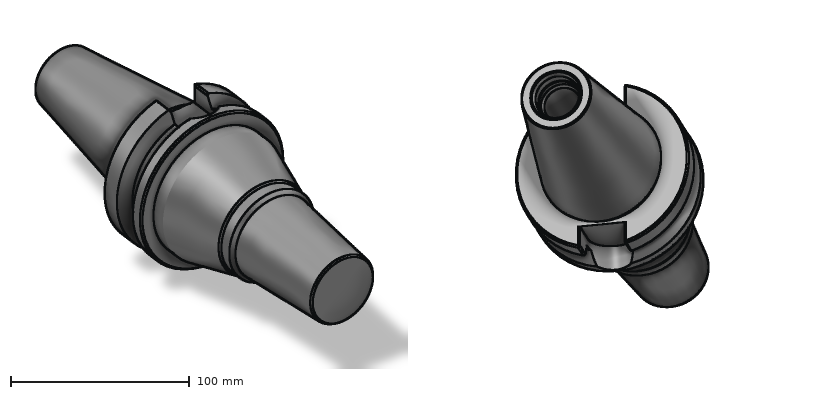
import cadquery as cq
import math

taper_length = 101.5
taper_small_radius = 20.2
radius_slope = 7 / 48
taper_edge = 0.5
taper_large_radius = taper_small_radius + taper_length * radius_slope

neck_drop = 1.0
neck_radius = taper_large_radius - neck_drop

flange_radius = 50.0
flange_start = 104.5
flange_end = 139.8
flange_chamfer = 1.0
groove_middle = 124.5
groove_floor_width = 6.3
groove_floor_radius = 42.5
groove_flank_angle = 30
groove_depth = flange_radius - groove_floor_radius
groove_half_floor = groove_floor_width / 2
groove_half_mouth = groove_half_floor + groove_depth * math.tan(math.radians(groove_flank_angle))

collar_radius = 41.4
collar_end = 149.0
cone_end = 186.5
cone_end_radius = 30.5

band_start = 187.7
band_radius = 29.5
band_end = 195.0
nose_start = 197.5
nose_radius = 27.0
nose_end_radius = 22.0
nose_chamfer = 1.0
total_length = 261.8

slot_half_width = 12.8
slot_floor = 35.5
slot_end = 136.7
slot_edge_chamfer = 1.0

mouth_radius = 15.0
mouth_ledge_radius = 14.1
mouth_ledge_depth = 0.3
centring_cone_end = 2.5
counterbore_radius = 12.5
counterbore_depth = 9.0
thread_radius = 12.0
thread_relief_end = 13
thread_core_radius = 10.5
thread_lead_chamfer = thread_radius - thread_core_radius
thread_depth = 60.2
drill_point_angle = 118
drill_tip = thread_depth + thread_core_radius / math.tan(math.radians(drill_point_angle / 2))


def revolve_about_x(points):
    """Turn a closed (x, radius) outline about the X axis."""
    return cq.Workplane("XY").polyline(points).close().revolve(360, (0, 0, 0), (1, 0, 0))


def turned_body():
    return revolve_about_x([
        (0, 0),
        (0, taper_small_radius - taper_edge),
        (taper_edge, taper_small_radius + taper_edge * radius_slope),
        (taper_length, taper_large_radius),
        (taper_length + neck_drop, neck_radius),
        (flange_start, neck_radius),
        (flange_start, flange_radius - flange_chamfer),
        (flange_start + flange_chamfer, flange_radius),
        (groove_middle - groove_half_mouth, flange_radius),
        (groove_middle - groove_half_floor, groove_floor_radius),
        (groove_middle + groove_half_floor, groove_floor_radius),
        (groove_middle + groove_half_mouth, flange_radius),
        (flange_end - flange_chamfer, flange_radius),
        (flange_end, flange_radius - flange_chamfer),
        (flange_end, collar_radius),
        (collar_end, collar_radius),
        (cone_end, cone_end_radius),
        (band_start, band_radius),
        (band_end, band_radius),
        (nose_start, nose_radius),
        (total_length - nose_chamfer, nose_end_radius),
        (total_length, nose_end_radius - nose_chamfer),
        (total_length, 0),
    ])


def pull_stud_bore():
    return revolve_about_x([
        (0, 0),
        (0, mouth_radius),
        (mouth_ledge_depth, mouth_ledge_radius),
        (centring_cone_end, counterbore_radius),
        (counterbore_depth, counterbore_radius),
        (counterbore_depth, thread_radius),
        (thread_relief_end, thread_radius),
        (thread_relief_end + thread_lead_chamfer, thread_core_radius),
        (thread_depth, thread_core_radius),
        (drill_tip, 0),
    ])


def drive_slot():
    """Round-ended slot on +Z, open toward the taper, with its front edges broken."""
    round_centre = slot_end - slot_half_width
    slot_height = flange_radius - slot_floor
    slot = (
        cq.Workplane("XY", origin=(0, 0, slot_floor))
        .moveTo(flange_start, -slot_half_width)
        .lineTo(round_centre, -slot_half_width)
        .threePointArc((slot_end, 0), (round_centre, slot_half_width))
        .lineTo(flange_start, slot_half_width)
        .close()
        .extrude(slot_height)
    )
    wide_half = slot_half_width + slot_edge_chamfer
    face_chamfer = (
        cq.Workplane("XY", origin=(0, 0, slot_floor))
        .polyline([
            (flange_start, -wide_half),
            (flange_start + slot_edge_chamfer, -slot_half_width),
            (flange_start + slot_edge_chamfer, slot_half_width),
            (flange_start, wide_half),
        ])
        .close()
        .extrude(slot_height)
    )
    rim_height = math.sqrt(flange_radius**2 - wide_half**2)
    rim_chamfer = (
        cq.Workplane("YZ", origin=(flange_start, 0, 0))
        .polyline([
            (-slot_half_width, rim_height - slot_edge_chamfer),
            (-wide_half, rim_height),
            (-wide_half, flange_radius),
            (wide_half, flange_radius),
            (wide_half, rim_height),
            (slot_half_width, rim_height - slot_edge_chamfer),
        ])
        .close()
        .extrude(groove_middle - flange_start)
    )
    return slot.union(face_chamfer).union(rim_chamfer)


result = turned_body().cut(pull_stud_bore())
for turn in (0, 180):
    result = result.cut(drive_slot().rotate((0, 0, 0), (1, 0, 0), turn))